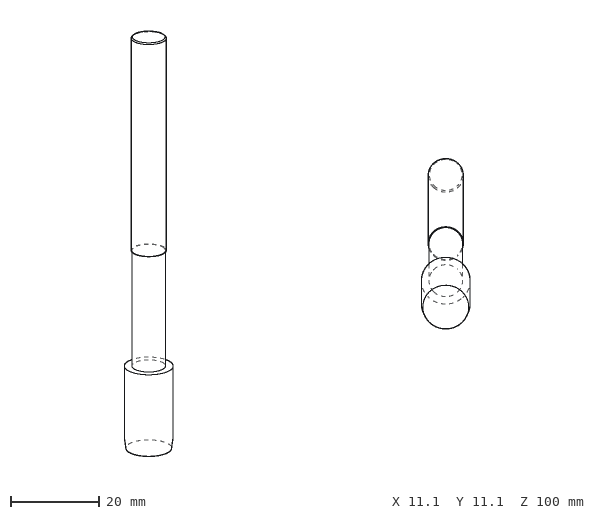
import cadquery as cq

total_length = 100.0

head_diameter = 11.1
head_length = 20.0
lead_length = 2.6
lead_tip_diameter = 10.4

neck_diameter = 7.6
neck_top = 48.1
shaft_diameter = 8.0
top_chamfer = 0.3


def make_head():
    """Cylinder with a conical lead, ending flat against the neck."""
    profile = [
        (0, 0),
        (lead_tip_diameter / 2, 0),
        (head_diameter / 2, lead_length),
        (head_diameter / 2, head_length),
        (0, head_length),
    ]
    return cq.Workplane("XZ").polyline(profile).close().revolve(360, (0, 0), (0, 1))


def make_shank():
    """Neck standing on the head, with the shaft above it."""
    neck_length = neck_top - head_length
    shaft_length = total_length - neck_top
    neck = cq.Workplane("XY").workplane(offset=head_length).circle(neck_diameter / 2).extrude(neck_length)
    shaft = cq.Workplane("XY").workplane(offset=neck_top).circle(shaft_diameter / 2).extrude(shaft_length)
    return neck.union(shaft.faces(">Z").chamfer(top_chamfer))


head = make_head()
shank = make_shank()

result = cq.Compound.makeCompound([head.val(), shank.val()])